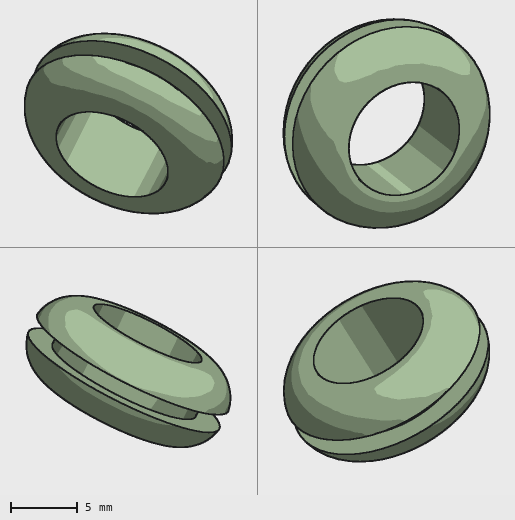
import cadquery as cq
import math

outer_diameter = 16.0
bore_diameter = 9.0
groove_diameter = 12.0
total_width = 6.5
groove_width = 1.5
rounding_radius = 3.0

outer_radius = outer_diameter / 2
bore_radius = bore_diameter / 2
groove_radius = groove_diameter / 2
half_width = total_width / 2
half_groove = groove_width / 2

arc_center_y = half_width - rounding_radius
rim_offset = half_groove - arc_center_y
face_radius = outer_radius - math.sqrt(rounding_radius**2 - rim_offset**2)

rim_angle = math.asin(rim_offset / rounding_radius)
middle_angle = (math.pi / 2 + rim_angle) / 2
middle_radius = face_radius + rounding_radius * math.cos(middle_angle)
middle_y = arc_center_y + rounding_radius * math.sin(middle_angle)

profile = (
    cq.Workplane("XY")
    .moveTo(bore_radius, -half_width)
    .lineTo(face_radius, -half_width)
    .threePointArc((middle_radius, -middle_y), (outer_radius, -half_groove))
    .lineTo(groove_radius, -half_groove)
    .lineTo(groove_radius, half_groove)
    .lineTo(outer_radius, half_groove)
    .threePointArc((middle_radius, middle_y), (face_radius, half_width))
    .lineTo(bore_radius, half_width)
    .close()
)
result = profile.revolve(360, (0, 0, 0), (0, 1, 0))